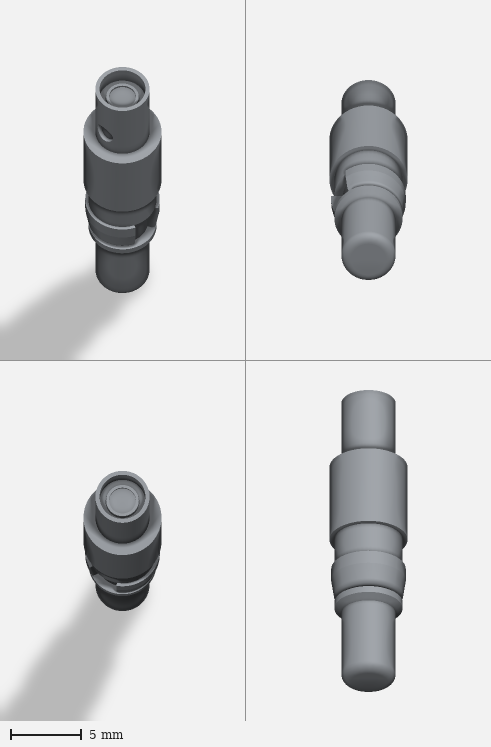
import cadquery as cq

pin_radius = 1.9
neck_radius = 1.8
body_radius = 2.4
collar_diameter = 5.5
collar_radius = collar_diameter / 2
bore_radius = 1.62

flange_cone_bottom = 5.53
flange_cone_top = 5.93
flange_top = 6.4
ring_bottom = 6.63
ring_blend_top = 6.99
ring_taper_top = 8.15
ring_top = 9.12
collar_bottom = 11.45
collar_top = 17.3
total_height = 22.47

pin_tip_fillet = 0.63

ring_radius = 2.63
ring_taper_radius = 2.45
ring_bottom_radius = 2.15
ring_gap_half_angle = 26.0

bore_depth = 1.24
cup_height = 0.31
cup_depth = 0.15
cup_base_radius = 1.2
cup_top_radius = 1.15
cup_inner_radius = 0.95

inspection_radius = 0.75
inspection_height = 18.99


def cylinder(radius, bottom, top):
    return cq.Workplane("XY").workplane(offset=bottom).circle(radius).extrude(top - bottom)


def turned_body():
    profile = [
        (0, 0),
        (pin_radius, 0),
        (pin_radius, flange_cone_bottom),
        (body_radius, flange_cone_top),
        (body_radius, flange_top),
        (neck_radius, flange_top),
        (neck_radius, ring_top),
        (body_radius, ring_top),
        (body_radius, collar_bottom),
        (collar_radius, collar_bottom),
        (collar_radius, collar_top),
        (pin_radius, collar_top),
        (pin_radius, total_height),
        (0, total_height),
    ]
    body = cq.Workplane("XZ").polyline(profile).close().revolve(360, (0, 0, 0), (0, 1, 0))
    return body.faces("<Z").edges().fillet(pin_tip_fillet)


def retaining_ring():
    return (
        cq.Workplane("XZ")
        .moveTo(neck_radius, ring_top)
        .lineTo(ring_radius, ring_top)
        .lineTo(ring_radius, ring_taper_top)
        .lineTo(ring_taper_radius, ring_blend_top)
        .tangentArcPoint((ring_bottom_radius, ring_bottom), relative=False)
        .lineTo(neck_radius, ring_bottom)
        .close()
        .revolve(360 - 2 * ring_gap_half_angle, (0, 0, 0), (0, 1, 0))
    )


def upper_bore():
    floor = total_height - bore_depth
    cup_top = floor + cup_height
    cup = (
        cq.Workplane("XY")
        .workplane(offset=floor)
        .circle(cup_base_radius)
        .workplane(offset=cup_height)
        .circle(cup_top_radius)
        .loft()
        .cut(cylinder(cup_inner_radius, cup_top - cup_depth, cup_top))
    )
    return cylinder(bore_radius, floor, total_height).cut(cup)


def inspection_hole():
    drill = (
        cq.Workplane("XZ")
        .center(0, inspection_height)
        .circle(inspection_radius)
        .extrude(pin_radius)
    )
    core = cylinder(bore_radius, collar_top, total_height)
    return drill.cut(core)


ring = retaining_ring().rotate((0, 0, 0), (0, 0, 1), ring_gap_half_angle)
result = turned_body().union(ring).cut(upper_bore()).cut(inspection_hole())